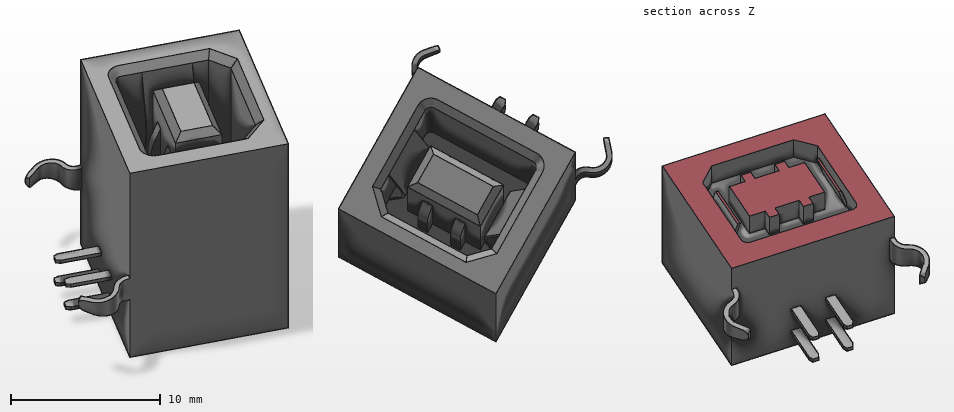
import cadquery as cq
import math

body_width = 12.0
body_depth = 11.0
body_height = 16.3
half_width = body_width / 2

cavity_width = 8.43
cavity_front = 1.83
cavity_back = 9.57
cavity_depth = 8.96
cavity_chamfer = 1.2
cavity_radius = 0.47
lead_in = 0.52
floor_z = body_height - cavity_depth
lead_in_z = body_height - lead_in

tongue_width = 5.56
tongue_front = 4.09
tongue_back = 7.3
tongue_recess = 0.5
tongue_chamfer = 0.5
tongue_depth = tongue_back - tongue_front
tongue_middle = (tongue_front + tongue_back) / 2
tongue_top = body_height - tongue_recess

contact_width = 0.75
contact_spacing = 2.5
contact_drop = 2.8
contact_reach = 0.67
contact_angle = 22.0
contact_bend_radius = 3.1

leaf_width = 3.5
leaf_front = 3.73
leaf_thickness = 0.2
leaf_reach = 1.19
leaf_angle = 18.0
leaf_bend_radius = 4.4

pin_width = 0.7
pin_thickness = 0.28
pin_length = 3.15
pin_spacing = 2.53
pin_heights = (1.34, 3.34)
pin_tip_width = 0.44
pin_tip_length = 0.33

hook_thickness = 0.36
hook_span = 14.9
hook_reach = 3.72
hook_z = 6.03
hook_root_width = 1.92
hook_straight = 0.2
hook_crest_y = -2.12
hook_crest_radius = 1.27
hook_tip_angle = 40.0
hook_neck = 0.26
hook_round_y = -3.26
hook_round_radius = 0.47


def mirrored(solid):
    """Return the solid together with its mirror image about the YZ plane."""
    return solid.union(solid.mirror("YZ"))


def cavity_section(margin, z):
    """Wire of the cavity outline, grown outward by margin."""
    half = cavity_width / 2 + margin
    front = cavity_front - margin
    back = cavity_back + margin
    corner = cavity_chamfer + margin * (2 - math.sqrt(2))
    radius = cavity_radius + margin
    diagonal = radius * (1 - math.sqrt(0.5))
    return (
        cq.Workplane("XY", origin=(0, 0, z))
        .moveTo(-half + radius, front)
        .lineTo(half - radius, front)
        .threePointArc((half - diagonal, front + diagonal), (half, front + radius))
        .lineTo(half, back - corner)
        .lineTo(half - corner, back)
        .lineTo(-half + corner, back)
        .lineTo(-half, back - corner)
        .lineTo(-half, front + radius)
        .threePointArc((-half + diagonal, front + diagonal), (-half + radius, front))
        .close()
    )


def make_body():
    block = cq.Workplane("XY").box(body_width, body_depth, body_height, centered=(True, False, False))
    cavity = cavity_section(0, floor_z).extrude(cavity_depth)
    lower_wire = cavity_section(0, lead_in_z).val()
    upper_wire = cavity_section(lead_in, body_height).val()
    flare = cq.Solid.makeLoft([lower_wire, upper_wire], True)
    return block.cut(cavity).cut(cq.Workplane(flare))


def make_tongue():
    return (
        cq.Workplane("XY", origin=(0, tongue_middle, floor_z))
        .rect(tongue_width, tongue_depth)
        .extrude(tongue_top - floor_z)
        .faces(">Z")
        .chamfer(tongue_chamfer)
    )


def make_contacts():
    """Strips that ramp out from both tongue faces, then bend to run down to the floor."""
    lean = math.radians(contact_angle)
    face = tongue_depth / 2
    start_z = body_height - contact_drop
    ramp_out = contact_reach - contact_bend_radius * (1 - math.cos(lean))
    bend_z = start_z - ramp_out / math.tan(lean) - contact_bend_radius * math.sin(lean)

    def bend_point(angle):
        setback = contact_bend_radius * (1 - math.cos(angle))
        return (face + contact_reach - setback, bend_z + contact_bend_radius * math.sin(angle))

    front_right = (
        cq.Workplane("YZ", origin=((contact_spacing - contact_width) / 2, tongue_middle, 0))
        .moveTo(face, start_z)
        .lineTo(*bend_point(lean))
        .threePointArc(bend_point(lean / 2), bend_point(0))
        .lineTo(face + contact_reach, floor_z)
        .lineTo(face, floor_z)
        .close()
        .extrude(contact_width)
    )
    one_side = mirrored(front_right)
    return one_side.union(one_side.mirror("XZ", (0, tongue_middle, 0)))


def make_leaf_springs():
    """Sheet bowed inward from each side wall, symmetric above and below its crest."""
    lean = math.radians(leaf_angle)
    wall = cavity_width / 2
    crest_x = wall - leaf_reach
    back_radius = leaf_bend_radius - leaf_thickness
    ramp_in = leaf_reach - leaf_bend_radius * (1 - math.cos(lean))
    half_height = ramp_in / math.tan(lean) + leaf_bend_radius * math.sin(lean)
    back_half_height = half_height - leaf_thickness / math.sin(lean)

    def bend_point(radius, angle):
        return (crest_x + leaf_bend_radius - radius * math.cos(angle), radius * math.sin(angle))

    leaf = (
        cq.Workplane("XZ", origin=(0, leaf_front, lead_in_z - half_height))
        .moveTo(wall, half_height)
        .lineTo(*bend_point(leaf_bend_radius, lean))
        .threePointArc(bend_point(leaf_bend_radius, 0), bend_point(leaf_bend_radius, -lean))
        .lineTo(wall, -half_height)
        .lineTo(wall, -back_half_height)
        .lineTo(*bend_point(back_radius, -lean))
        .threePointArc(bend_point(back_radius, 0), bend_point(back_radius, lean))
        .lineTo(wall, back_half_height)
        .close()
        .extrude(-leaf_width)
    )
    return mirrored(leaf)


def make_pins():
    pins = cq.Workplane("XY")
    for x in (-pin_spacing / 2, pin_spacing / 2):
        for z in pin_heights:
            pin = (
                cq.Workplane("XY", origin=(x, 0, z - pin_thickness / 2))
                .moveTo(-pin_width / 2, 0)
                .lineTo(-pin_width / 2, pin_tip_length - pin_length)
                .lineTo(-pin_tip_width / 2, -pin_length)
                .lineTo(pin_tip_width / 2, -pin_length)
                .lineTo(pin_width / 2, pin_tip_length - pin_length)
                .lineTo(pin_width / 2, 0)
                .close()
                .extrude(pin_thickness)
            )
            pins = pins.union(pin)
    return pins


def make_hooks():
    """S-shaped sheet hooks that narrow toward a rounded tip."""
    root_mid_x = half_width - hook_thickness / 2
    crest_mid_x = hook_span / 2 - hook_thickness / 2
    side_step = crest_mid_x - root_mid_x
    drop = -hook_straight - hook_crest_y
    radius_sum = (side_step**2 + drop**2 - hook_neck**2) / (2 * side_step)
    crest_mid_radius = hook_crest_radius - hook_thickness / 2
    root_mid_radius = radius_sum - crest_mid_radius
    turn = math.atan2(drop, radius_sum - side_step) - math.atan2(hook_neck, radius_sum)
    lean = math.radians(hook_tip_angle)
    root_centre_x = root_mid_x + root_mid_radius
    crest_centre_x = crest_mid_x - crest_mid_radius
    tip_length = (hook_reach + hook_crest_y - hook_crest_radius * math.sin(lean)) / math.cos(lean)

    def root_point(radius, angle):
        return (root_centre_x - radius * math.cos(angle), -hook_straight - radius * math.sin(angle))

    def crest_point(radius, angle):
        return (crest_centre_x + radius * math.cos(angle), hook_crest_y + radius * math.sin(angle))

    def tip_point(radius):
        x, y = crest_point(radius, -lean)
        return (x - tip_length * math.sin(lean), y - tip_length * math.cos(lean))

    root_outer = root_mid_radius - hook_thickness / 2
    root_inner = root_mid_radius + hook_thickness / 2
    crest_inner = hook_crest_radius - hook_thickness
    strip = (
        cq.Workplane("XY", origin=(0, 0, hook_z))
        .moveTo(half_width, 0)
        .lineTo(half_width, -hook_straight)
        .threePointArc(root_point(root_outer, turn / 2), root_point(root_outer, turn))
        .lineTo(*crest_point(hook_crest_radius, turn))
        .threePointArc(crest_point(hook_crest_radius, 0), crest_point(hook_crest_radius, -lean))
        .lineTo(*tip_point(hook_crest_radius))
        .lineTo(*tip_point(crest_inner))
        .lineTo(*crest_point(crest_inner, -lean))
        .threePointArc(crest_point(crest_inner, 0), crest_point(crest_inner, turn))
        .lineTo(*root_point(root_inner, turn))
        .threePointArc(root_point(root_inner, turn / 2), root_point(root_inner, 0))
        .lineTo(half_width - hook_thickness, 0)
        .close()
        .extrude(hook_root_width / 2, both=True)
    )
    taper = (
        cq.Workplane("YZ", origin=(0, 0, hook_z))
        .moveTo(0, -hook_root_width / 2)
        .lineTo(0, hook_root_width / 2)
        .lineTo(hook_round_y, hook_round_radius)
        .threePointArc((hook_round_y - hook_round_radius, 0), (hook_round_y, -hook_round_radius))
        .close()
        .extrude(hook_span)
    )
    return mirrored(strip.intersect(taper))


result = make_body()
for feature in (make_tongue(), make_contacts(), make_leaf_springs(), make_pins(), make_hooks()):
    result = result.union(feature)